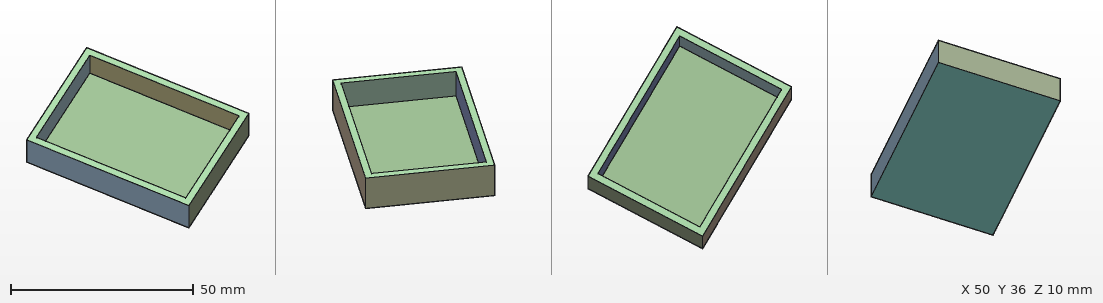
import cadquery as cq

length = 50.0
width = 36.0
height = 10.0

wall = 2.0
floor = 2.0

block = cq.Workplane("XY").box(length, width, height, centered=(True, True, False))

pocket = (
    cq.Workplane("XY")
    .workplane(offset=floor)
    .rect(length - 2 * wall, width - 2 * wall)
    .extrude(height - floor)
)

result = block.cut(pocket)